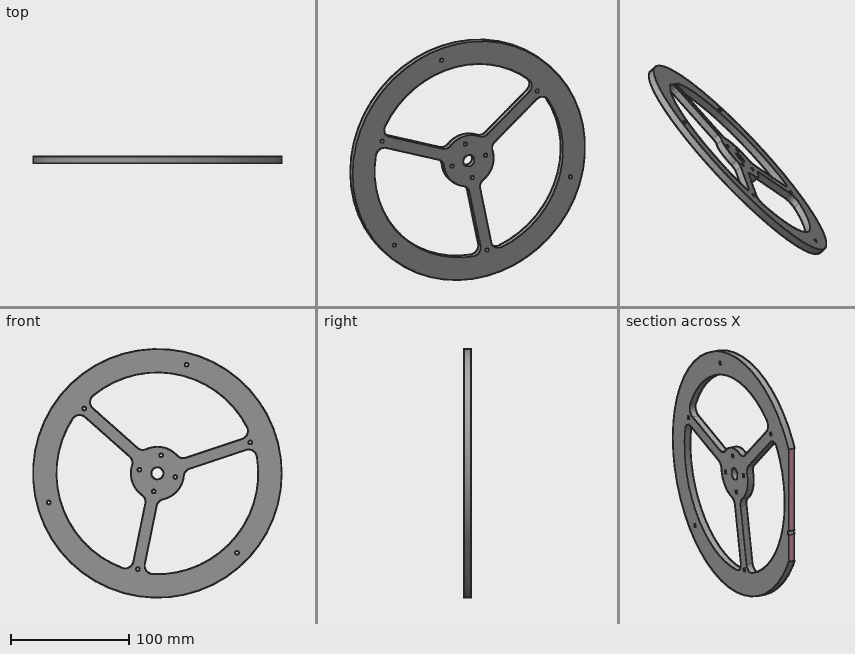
import cadquery as cq

full_turn = 360.0

thickness = 6.0
wheel_radius = 105.0
rim_inner_radius = 85.0
hub_radius = 22.5
bore_diameter = 10.0

spoke_count = 3
spoke_width = 10.0
first_spoke_angle = 18.46
corner_radius = 7.0

screw_diameter = 3.0
spoke_hole_radius = 82.5
rim_hole_radius = 95.0
rim_hole_count = 3
first_rim_hole_angle = 75.0
hub_hole_radius = 15.5
hub_hole_count = 4
first_hub_hole_angle = first_spoke_angle + full_turn / 6


def back_plane():
    """Sketch plane on the +Y face; extrusions run toward -Y."""
    return cq.Workplane("XZ", origin=(0, thickness / 2, 0))


def disc(radius):
    """Solid disc about the wheel axis (Y), as thick as the wheel."""
    return back_plane().circle(radius).extrude(thickness)


def spoke(angle):
    """Straight bar from the wheel axis to the middle of the rim."""
    length = (rim_inner_radius + wheel_radius) / 2
    bar = back_plane().center(length / 2, 0).rect(length, spoke_width)
    return bar.extrude(thickness).rotate((0, 0, 0), (0, -1, 0), angle)


def windows():
    """Openings between rim, hub and spokes, with rounded corners."""
    openings = disc(rim_inner_radius).cut(disc(hub_radius))
    for index in range(spoke_count):
        openings = openings.cut(spoke(first_spoke_angle + index * full_turn / spoke_count))
    return openings.edges("|Y").fillet(corner_radius)


def hole_ring(ring_radius, count, first_angle):
    """Through-hole cutters evenly spaced on a circle about the wheel axis."""
    return (
        back_plane()
        .polarArray(ring_radius, first_angle, full_turn, count)
        .circle(screw_diameter / 2)
        .extrude(thickness)
    )


result = disc(wheel_radius).cut(windows()).cut(disc(bore_diameter / 2))
result = result.cut(hole_ring(spoke_hole_radius, spoke_count, first_spoke_angle))
result = result.cut(hole_ring(rim_hole_radius, rim_hole_count, first_rim_hole_angle))
result = result.cut(hole_ring(hub_hole_radius, hub_hole_count, first_hub_hole_angle))